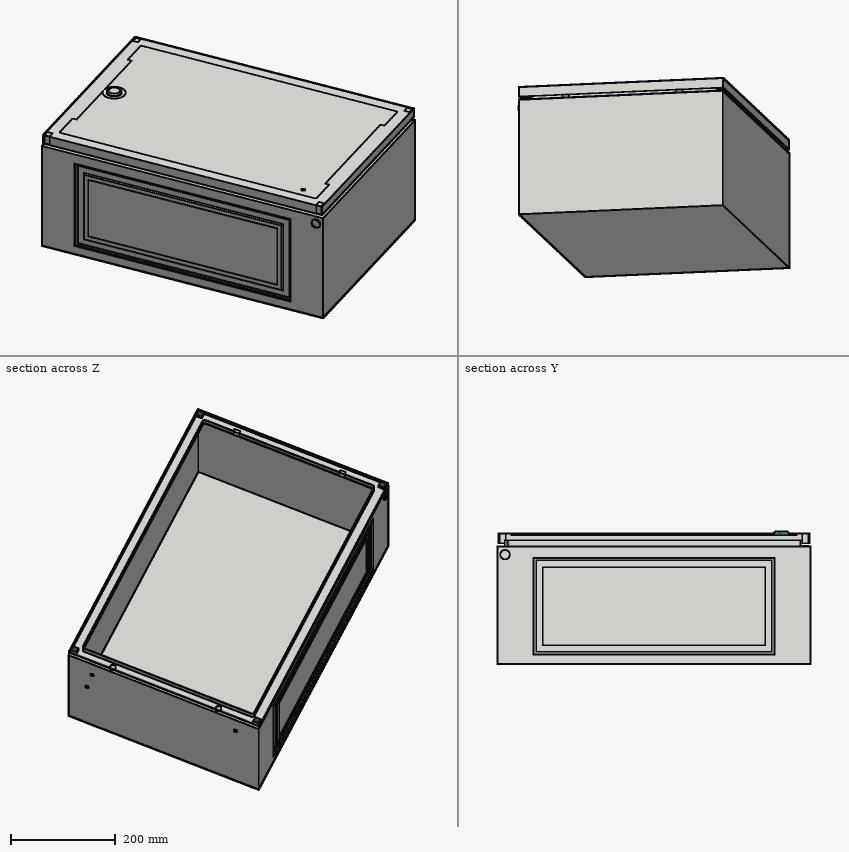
import cadquery as cq

SHEET = 0.95

BOX_X = 600.0
BOX_Y = 400.0
BOX_Z = 225.0
RIM_X = 561.5
RIM_Y = 360.5
RIM_HEIGHT = 12.0
RIM_RADIUS = 5.5

PLUG_DIAMETER = 18.0
PLUG_HEIGHT = 2.0
PLUG_X = 285.0
PLUG_Z = 209.5
BUMPER_DIAMETER = 11.5
BUMPER_HEIGHT = 2.0
BUMPER_X = -290.5
BUMPER_Y = 111.0
HINGE_WIDTH = 5.0
HINGE_LENGTH = 12.0
SIDE_HOLE_DIAMETER = 7.0
SIDE_HOLES = [(-150.5, 185.0), (150.5, 185.0), (161.5, 134.0)]

RECESS_X = 459.5
RECESS_Z = 183.5
RECESS_CENTRE_Z = 111.0
RECESS_DEPTH = 4.5
LEDGE = 4.5
PLATE_THICKNESS = 1.5
PANEL_MARGIN = 12.5
PANEL_HEIGHT = 3.0
PANEL_SLOPE = 2.5
DISH_MARGIN = 9.0
DISH_DEPTH = 0.5

DOOR_X = 595.0
DOOR_Y = BOX_Y
DOOR_Z = 19.0
DOOR_GAP = 6.0
PAD_X = 547.0
PAD_Y = 354.0
PAD_RADIUS = 3.0
PAD_THICKNESS = 3.0
PAD_NOTCH_DEPTH = 8.5
PAD_NOTCH_LENGTH = 239.5
POST_X = 11.0
POST_Y = 12.5
POST_GAP_X = 2.0
POST_GAP_Y = 1.0
DOOR_HOLE_DIAMETER = 7.0
DOOR_HOLE = (237.5, -159.5)

LOCK_X = -243.5
LOCK_DIAMETER = 29.0
LOCK_HEIGHT = 4.0
LOCK_CHAMFER = 3.0
LOCK_CLEARANCE_DIAMETER = 44.0

DOOR_BOTTOM = BOX_Z + DOOR_GAP
DOOR_TOP = DOOR_BOTTOM + DOOR_Z
DOOR_UNDERSIDE = DOOR_TOP - SHEET
FRONT_Y = -BOX_Y / 2
PLATE_X = RECESS_X - 2 * LEDGE
PLATE_Z = RECESS_Z - 2 * LEDGE
PLATE_FACE_Y = FRONT_Y + RECESS_DEPTH


def block(x, y, z, bottom):
    """A block centred on the Z axis, standing on the height `bottom`."""
    return cq.Workplane("XY").workplane(offset=bottom).rect(x, y).extrude(z)


def disc(diameter, height, x, y, bottom):
    """An upright disc with its base centre at (x, y, bottom)."""
    return cq.Workplane("XY", origin=(x, y, bottom)).circle(diameter / 2).extrude(height)


def wall_block(x, z, front, depth):
    """A block centred on the gland plate, reaching `depth` toward +Y from the plane y = front."""
    workplane = cq.Workplane("XZ", origin=(0, front, RECESS_CENTRE_Z))
    return workplane.rect(x, z).extrude(-depth)


def make_rim():
    """The upright rim around the box's mouth, as an outer and an inner block."""
    bottom = BOX_Z - SHEET
    outer = block(RIM_X, RIM_Y, RIM_HEIGHT + SHEET, bottom).edges("|Z").fillet(RIM_RADIUS)
    inner = block(RIM_X - 2 * SHEET, RIM_Y - 2 * SHEET, RIM_HEIGHT + SHEET, bottom)
    return outer, inner.edges("|Z").fillet(RIM_RADIUS - SHEET)


def make_box():
    body = block(BOX_X, BOX_Y, BOX_Z, 0)
    body = body.cut(block(BOX_X - 2 * SHEET, BOX_Y - 2 * SHEET, BOX_Z - 2 * SHEET, SHEET))
    rim, mouth = make_rim()
    body = body.union(rim).cut(mouth)

    tray_depth = RECESS_DEPTH + PLATE_THICKNESS
    tray = wall_block(RECESS_X + 2 * SHEET, RECESS_Z + 2 * SHEET, FRONT_Y, tray_depth)
    body = body.union(tray)
    body = body.cut(wall_block(RECESS_X, RECESS_Z, FRONT_Y, RECESS_DEPTH))
    body = body.cut(wall_block(PLATE_X, PLATE_Z, FRONT_Y, tray_depth))

    plug = cq.Workplane("XZ", origin=(PLUG_X, FRONT_Y, PLUG_Z)).circle(PLUG_DIAMETER / 2)
    body = body.union(plug.extrude(PLUG_HEIGHT))

    hinge_x = (RIM_X + HINGE_WIDTH) / 2
    for y in (-BUMPER_Y, BUMPER_Y):
        body = body.union(disc(BUMPER_DIAMETER, BUMPER_HEIGHT, BUMPER_X, y, BOX_Z))
        hinge = block(HINGE_WIDTH, HINGE_LENGTH, RIM_HEIGHT, BOX_Z)
        body = body.union(hinge.translate((hinge_x, y, 0)))

    holes = cq.Workplane("YZ", origin=(-BOX_X / 2, 0, 0)).pushPoints(SIDE_HOLES)
    return body.cut(holes.circle(SIDE_HOLE_DIAMETER / 2).extrude(SHEET))


def make_gland_plate():
    plate = wall_block(PLATE_X, PLATE_Z, PLATE_FACE_Y, PLATE_THICKNESS)
    foot_x = PLATE_X - 2 * PANEL_MARGIN
    foot_z = PLATE_Z - 2 * PANEL_MARGIN
    face_x = foot_x - 2 * PANEL_SLOPE
    face_z = foot_z - 2 * PANEL_SLOPE
    panel = (
        cq.Workplane("XZ", origin=(0, PLATE_FACE_Y, RECESS_CENTRE_Z))
        .rect(foot_x, foot_z)
        .workplane(offset=PANEL_HEIGHT)
        .rect(face_x, face_z)
        .loft(ruled=True)
    )
    dish = wall_block(
        face_x - 2 * DISH_MARGIN, face_z - 2 * DISH_MARGIN, PLATE_FACE_Y - PANEL_HEIGHT, DISH_DEPTH
    )
    return plate.union(panel).cut(dish)


def make_door_pad():
    """The pad under the door, notched along both ends and open around the lock."""
    bottom = DOOR_UNDERSIDE - PAD_THICKNESS
    pad = block(PAD_X, PAD_Y, PAD_THICKNESS, bottom).edges("|Z").fillet(PAD_RADIUS)
    notch = block(PAD_NOTCH_DEPTH, PAD_NOTCH_LENGTH, PAD_THICKNESS, bottom)
    notch_x = (PAD_X - PAD_NOTCH_DEPTH) / 2
    for x in (-notch_x, notch_x):
        pad = pad.cut(notch.translate((x, 0, 0)))
    return pad.cut(disc(LOCK_CLEARANCE_DIAMETER, PAD_THICKNESS, LOCK_X, 0, bottom))


def make_door():
    cavity_x = DOOR_X - 2 * SHEET
    cavity_y = DOOR_Y - 2 * SHEET
    body = block(DOOR_X, DOOR_Y, DOOR_Z, DOOR_BOTTOM)
    body = body.cut(block(cavity_x, cavity_y, DOOR_Z - SHEET, DOOR_BOTTOM))
    body = body.union(make_door_pad())

    post = block(POST_X, POST_Y, DOOR_Z - SHEET, DOOR_BOTTOM)
    post_x = (cavity_x - POST_X) / 2 - POST_GAP_X
    post_y = (cavity_y - POST_Y) / 2 - POST_GAP_Y
    for x in (-post_x, post_x):
        for y in (-post_y, post_y):
            body = body.union(post.translate((x, y, 0)))

    body = body.cut(disc(LOCK_DIAMETER, DOOR_Z, LOCK_X, 0, DOOR_BOTTOM))
    return body.cut(disc(DOOR_HOLE_DIAMETER, DOOR_Z, *DOOR_HOLE, DOOR_BOTTOM))


def make_lock():
    """The lock barrel: flush with the pad's underside, its chamfered head above the door."""
    length = PAD_THICKNESS + SHEET + LOCK_HEIGHT
    barrel = disc(LOCK_DIAMETER, length, LOCK_X, 0, DOOR_UNDERSIDE - PAD_THICKNESS)
    return barrel.faces(">Z").chamfer(LOCK_CHAMFER)


box = make_box()
gland_plate = make_gland_plate()
door = make_door()
lock = make_lock()

result = cq.Compound.makeCompound([body.solids().val() for body in (box, gland_plate, door, lock)])